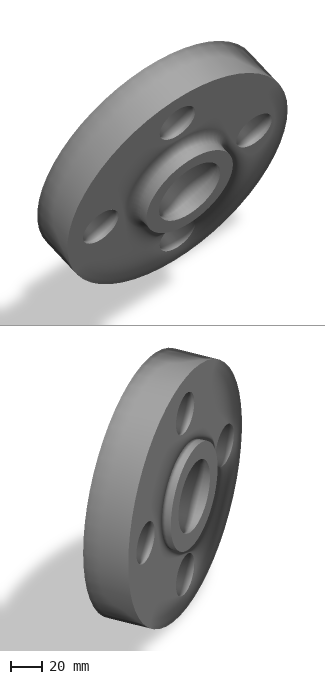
import cadquery as cq

flange_diameter = 177.8
flange_thickness = 31.6
overall_length = 50.9
face_diameter = 73.0
face_height = 6.4
hub_diameter = 69.9
hub_fillet = 6.4
bore_diameter = 49.3
bolt_circle_diameter = 123.7
bolt_hole_diameter = 28.6
bolt_hole_count = 4

face_start = -overall_length / 2
flange_start = face_start + face_height
flange_end = flange_start + flange_thickness
hub_end = overall_length / 2


def disc(diameter, start, end):
    """Solid cylinder along X between two axial positions."""
    return cq.Workplane("YZ", origin=(start, 0, 0)).circle(diameter / 2).extrude(end - start)


body = disc(flange_diameter, flange_start, flange_end)
body = body.union(disc(hub_diameter, flange_end, hub_end))
body = body.faces(">X[-2]").edges(cq.selectors.RadiusNthSelector(0)).fillet(hub_fillet)

body = body.union(disc(face_diameter, face_start, flange_start))

body = body.cut(disc(bore_diameter, face_start, hub_end))

bolt_holes = (
    cq.Workplane("YZ", origin=(flange_start, 0, 0))
    .polarArray(bolt_circle_diameter / 2, 0, 360, bolt_hole_count)
    .circle(bolt_hole_diameter / 2)
    .extrude(flange_thickness)
)
result = body.cut(bolt_holes)